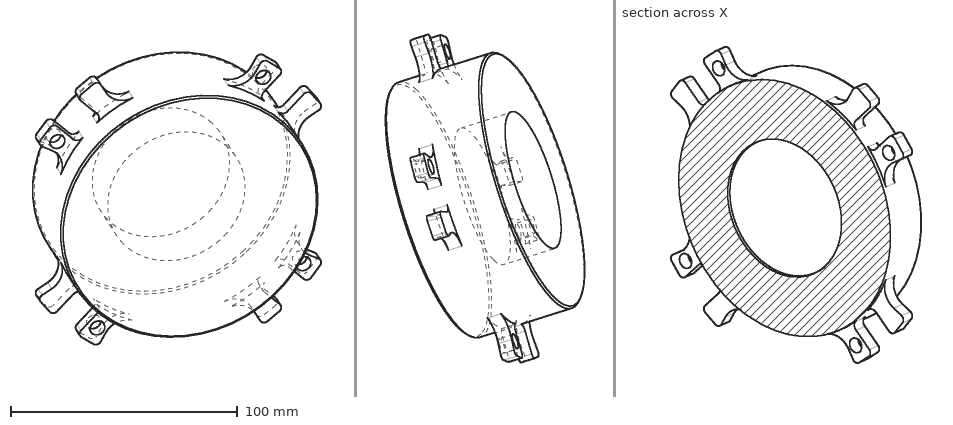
import cadquery as cq
import math

body_length = 46.0
body_radius = 59.1
body_chamfer = 0.9
bore_radius = 31.5
bore_depth = 24.4

pair_count = 4
first_diagonal = 45.0
lug_start = 24.8
lug_thickness = 6.5
half_gap = 7.8
flank_angle = 15.0
tip_distance = 75.2
tip_fillet = 2.2
inner_root_fillet = 3.0
outer_root_fillet = 10.0
hole_radius = 3.4
hole_distance = 68.1
hole_angle = 11.0


def make_body():
    disc = cq.Workplane("YZ").circle(body_radius).extrude(body_length)
    disc = disc.faces("<X or >X").chamfer(body_chamfer)
    bore = cq.Workplane("YZ").circle(bore_radius).extrude(bore_depth)
    return disc.cut(bore)


def fillet_at(solid, point, radius):
    """Round the edge along X that passes nearest the (y, z) point."""
    middle = (lug_start + lug_thickness / 2, *point)
    return solid.edges("|X").edges(cq.selectors.NearestToPointSelector(middle)).fillet(radius)


def make_lug():
    """Lug beside the +Y axis, which stands for the diagonal of its pair."""
    flank = math.radians(flank_angle)
    tip_normal = flank / 2
    root_inner = (math.sqrt(body_radius**2 - half_gap**2), half_gap)
    root_outer = (body_radius * math.cos(flank), body_radius * math.sin(flank))
    tip_inner_y = (tip_distance - half_gap * math.sin(tip_normal)) / math.cos(tip_normal)
    tip_inner = (tip_inner_y, half_gap)
    tip_outer_radius = tip_distance / math.cos(flank - tip_normal)
    tip_outer = (tip_outer_radius * math.cos(flank), tip_outer_radius * math.sin(flank))

    buried_y = (bore_radius + body_radius) / 2
    buried_inner = (buried_y, half_gap)
    buried_outer = (buried_y, buried_y * math.tan(flank))
    plane = cq.Workplane("YZ", origin=(lug_start, 0, 0))
    lug = plane.polyline([buried_inner, tip_inner, tip_outer, buried_outer]).close().extrude(lug_thickness)
    disc = plane.circle(body_radius).extrude(lug_thickness)
    lug = disc.union(lug)
    for tip in (tip_inner, tip_outer):
        lug = fillet_at(lug, tip, tip_fillet)
    lug = fillet_at(lug, root_inner, inner_root_fillet)
    lug = fillet_at(lug, root_outer, outer_root_fillet)

    return lug.cut(plane.circle(buried_y).extrude(lug_thickness))


def pierce(lug):
    angle = math.radians(hole_angle)
    center = (hole_distance * math.cos(angle), hole_distance * math.sin(angle))
    hole = cq.Workplane("YZ", origin=(lug_start, 0, 0)).center(*center).circle(hole_radius)
    return lug.cut(hole.extrude(lug_thickness))


plain_lug = make_lug().mirror("XY")
pierced_lug = pierce(make_lug())

result = make_body()
for index in range(pair_count):
    angle = first_diagonal + index * 360 / pair_count
    for lug in (plain_lug, pierced_lug):
        result = result.union(lug.rotate((0, 0, 0), (1, 0, 0), angle))